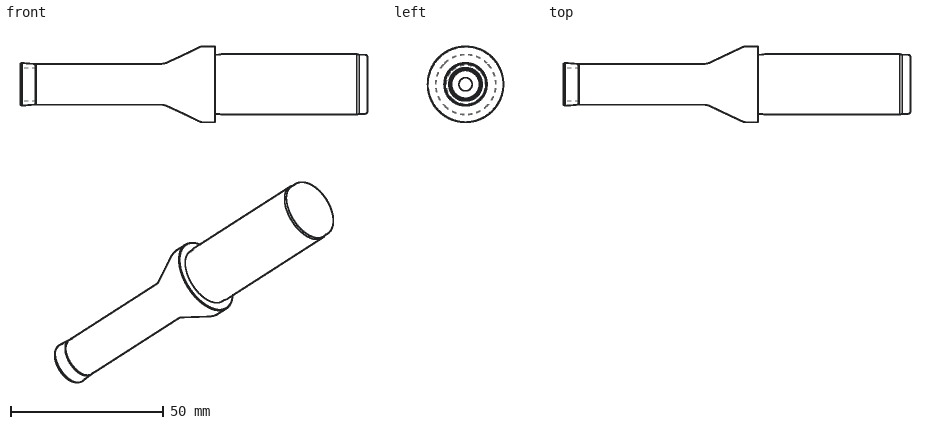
import cadquery as cq

total_length = 114.0
head_length = 4.9
neck_end = 45.9
cone_start = 47.9
cone_end = 58.7
collar_start = 59.7
collar_end = 64.0
relief_end = 65.0
shank_start = 66.2
shank_end = 110.5
tail_start = 111.2

head_front_diameter = 14.1
head_back_diameter = 13.5
neck_diameter = 13.5
cone_start_diameter = 14.1
cone_end_diameter = 24.4
collar_diameter = 25.0
shank_diameter = 20.0
tail_diameter = 19.5
relief_diameter = tail_diameter
spigot_diameter = 11.0

head_chamfer_length = 0.7
head_chamfer_height = 0.3
holder_chamfer = 0.3
collar_chamfer = 0.2
tail_fillet = 1.0

land_base_diameter = 10.0
land_diameter = 9.1
land_height = 0.2
dish_diameter = 6.0
dish_depth = 0.1
mark_diameter = 4.3
mark_floor_diameter = 3.6
mark_floor_depth = 0.2
mark_depth = 0.3


def revolve_about_x(profile):
    """Turn a closed profile, drawn as (x, radius), into a solid of revolution."""
    return profile.close().revolve(360, (0, 0, 0), (1, 0, 0))


def make_head():
    """Cutting ring with a chamfered front edge and back taper, bored for the spigot."""
    bore_radius = spigot_diameter / 2
    front_radius = head_front_diameter / 2
    profile = (
        cq.Workplane("XY")
        .moveTo(0, bore_radius)
        .lineTo(0, front_radius - head_chamfer_height)
        .lineTo(head_chamfer_length, front_radius)
        .lineTo(head_length, head_back_diameter / 2)
        .lineTo(head_length, bore_radius)
    )
    return revolve_about_x(profile)


def make_holder():
    """Spigot, neck, conical flare, collar and cylindrical shank in one turned piece."""
    neck_radius = neck_diameter / 2
    collar_radius = collar_diameter / 2
    relief_radius = relief_diameter / 2
    shank_radius = shank_diameter / 2
    tail_radius = tail_diameter / 2
    profile = (
        cq.Workplane("XY")
        .moveTo(mark_depth, 0)
        .lineTo(mark_floor_depth, mark_floor_diameter / 2)
        .lineTo(dish_depth, mark_diameter / 2)
        .lineTo(dish_depth, dish_diameter / 2)
        .lineTo(0, land_diameter / 2)
        .lineTo(land_height, land_base_diameter / 2)
        .lineTo(land_height, spigot_diameter / 2)
        .lineTo(head_length, spigot_diameter / 2)
        .lineTo(head_length, neck_radius - holder_chamfer)
        .lineTo(head_length + holder_chamfer, neck_radius)
        .lineTo(neck_end, neck_radius)
        .tangentArcPoint((cone_start, cone_start_diameter / 2), relative=False)
        .lineTo(cone_end, cone_end_diameter / 2)
        .tangentArcPoint((collar_start, collar_radius), relative=False)
        .lineTo(collar_end - collar_chamfer, collar_radius)
        .lineTo(collar_end, collar_radius - collar_chamfer)
        .lineTo(collar_end, relief_radius)
        .lineTo(relief_end, relief_radius)
        .lineTo(shank_start, shank_radius)
        .lineTo(shank_end, shank_radius)
        .lineTo(tail_start, tail_radius)
        .lineTo(total_length - tail_fillet, tail_radius)
        .tangentArcPoint((total_length, tail_radius - tail_fillet), relative=False)
        .lineTo(total_length, 0)
    )
    return revolve_about_x(profile)


head = make_head()
holder = make_holder()

result = cq.Compound.makeCompound([head.val(), holder.val()])